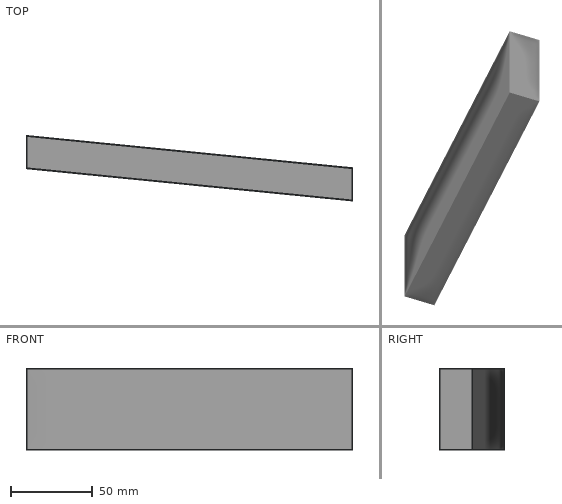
import cadquery as cq

length = 200.0
height = 50.0
end_width = 20.0
outer_depth = 39.8

skew = outer_depth - end_width

half_length = length / 2
half_depth = outer_depth / 2
plan = [
    (-half_length, half_depth),
    (-half_length, half_depth - end_width),
    (half_length, half_depth - end_width - skew),
    (half_length, half_depth - skew),
]

result = cq.Workplane("XY").polyline(plan).close().extrude(height)